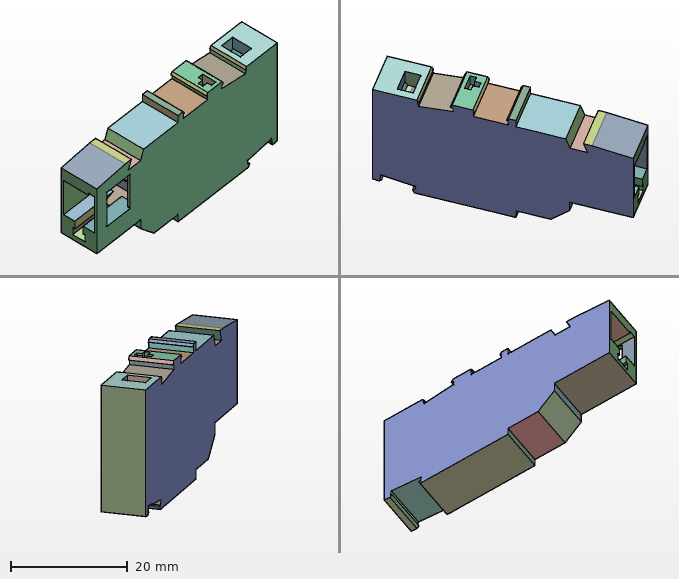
import cadquery as cq

width = 8.15
length = 47.0
height = 24.7
front = -length / 2
back = length / 2

deck = 23.12
rear_top = 23.8
lower_deck = 1.7
front_bottom = 7.2
front_top = 22.3
front_crest = 23.0
groove_floor = 21.0

lip_reach = 0.38
lip_drop = 0.5
lip_undercut = 0.3
lip_setback = lip_reach - lip_undercut

ramp_rise = 0.8

mid_hook = [(9.02, deck), (9.02, 23.9), (9.5, 24.05)]
foot_hook = [(16.0, 0), (16.3, 0.7), (15.9, 0.8), (15.75, lower_deck)]
rear_hook = [(22.0, lower_deck + ramp_rise), (22.2, 1.4), (21.85, 1.3), (22.3, 0.85)]
rear_bottom = 1.0

groove_back = -11.35
groove_floor_back = -12.13
groove_floor_front = -15.28
groove_front = -14.5
crest_end = -16.07

ramp_low_y = 15.2
rear_block_end = 15.5
mid_block_back = 9.1
mid_block_front = 5.4
rib_back = -1.05
rib_front = -2.35
neck_y = -12.05
corner_cut = 3.4

window_half_width = 3.5
window_floor = 11.75
window_ceiling = 19.7
key_left = 2.15
key_ceiling = 20.1
slot_half_width = 0.95
slot_foot_half_width = 1.4
slot_foot_top = 9.9
slot_floor = 8.35

cavity_depth = 11.3
end_wall_bottom = 12.15
end_wall_top = 19.4
end_slope_bottom = 10.9
end_slope = 2.9
end_y = front + cavity_depth

side_opening_start = 2.6
side_opening_length = 6.1

tongue_width = 4.5
tongue_height = 1.18
tongue_z = 15.85
tongue_length = 1.18
tongue_taper = 19.0

entry_left = -2.65
entry_right = 1.65
entry_back = 19.5
entry_front = 16.65
entry_wall_depth = 2.6
entry_slope_run = 0.45
entry_slope_drop = 0.75
entry_step_back = 18.1
entry_step_front = 17.55
entry_step_drop = 0.118

tee_left = 0.35
tee_right = 3.35
tee_back = 8.3
tee_shoulder = 7.2
tee_front = 6.05
stem_left = 1.3
stem_right = 2.35
drum_radius = 2.2
drum_y = 7.6
drum_crown_depth = 2.1


def extrude_yz(points, x_min=-width / 2, x_max=width / 2):
    """Prism along X from a closed outline of (y, z) points."""
    return cq.Workplane("YZ", origin=(x_min, 0, 0)).polyline(points).close().extrude(x_max - x_min)


def box(x_min, x_max, y_min, y_max, z_min, z_max):
    """Box given by its limits along each axis."""
    size = (x_max - x_min, y_max - y_min, z_max - z_min)
    return cq.Workplane("XY").box(*size, centered=False).translate((x_min, y_min, z_min))


def lip(corner_y, top_z, side):
    """Top corner, tip and undercut of an upright lip; side is +1 toward +Y, -1 toward -Y."""
    tip_y = corner_y + side * lip_reach
    tip_z = top_z - lip_drop
    return [(corner_y, top_z), (tip_y, tip_z), (corner_y + side * lip_setback, tip_z)]


def housing():
    top = [
        (back, rear_top),
        *lip(rear_block_end, rear_top, -1),
        (ramp_low_y, deck - ramp_rise),
        *mid_hook,
        (mid_block_back, height),
        *lip(mid_block_front, height, -1),
        (mid_block_front - lip_setback, deck),
        (rib_back + lip_setback, deck),
        *reversed(lip(rib_back, height, 1)),
        (rib_front, height),
        (rib_front, deck),
        (groove_back, deck),
        (groove_floor_back, groove_floor),
        (groove_floor_front, groove_floor),
        (groove_front, front_crest),
        (crest_end, front_crest),
        (front, front_top),
    ]
    bottom = [
        (front, front_bottom),
        (neck_y, front_bottom),
        (neck_y, lower_deck + corner_cut),
        (neck_y + corner_cut, lower_deck),
        (rib_front, lower_deck),
        (rib_front, 0),
        *foot_hook,
        *rear_hook,
        (back, rear_bottom),
    ]
    return extrude_yz(top + bottom)


def front_cavity():
    def opening(x_min, x_max, z_min, z_max):
        return box(x_min, x_max, front, end_y, z_min, z_max)

    section = opening(-window_half_width, window_half_width, window_floor, window_ceiling)
    section = section.union(opening(key_left, window_half_width, window_floor, key_ceiling))
    section = section.union(opening(-slot_half_width, slot_half_width, slot_floor, window_floor))
    section = section.union(opening(-slot_foot_half_width, slot_foot_half_width, slot_floor, slot_foot_top))

    slope_start = end_y - end_slope * (end_wall_bottom - end_slope_bottom)
    ceiling_start = end_y - end_slope * (key_ceiling - end_wall_top)
    depth_limit = extrude_yz([
        (front, slot_floor),
        (slope_start, slot_floor),
        (slope_start, end_slope_bottom),
        (end_y, end_wall_bottom),
        (end_y, end_wall_top),
        (ceiling_start, key_ceiling),
        (front, key_ceiling),
    ])
    return section.intersect(depth_limit)


def side_opening():
    start_y = front + side_opening_start
    return box(
        window_half_width, width / 2,
        start_y, start_y + side_opening_length,
        window_floor, window_ceiling,
    )


def contact_tongue():
    return (
        cq.Workplane("XZ", origin=(0, end_y, tongue_z))
        .rect(tongue_width, tongue_height)
        .extrude(tongue_length, taper=tongue_taper)
    )


def wire_entry():
    ledge_z = rear_top - entry_wall_depth
    floor_z = ledge_z - entry_slope_drop
    profile = [
        (entry_back, rear_top),
        (entry_back, ledge_z),
        (entry_back - entry_slope_run, floor_z),
        (entry_step_back, floor_z),
        (entry_step_front, floor_z - entry_step_drop),
        (entry_front, floor_z - entry_step_drop),
        (entry_front, rear_top),
    ]
    return extrude_yz(profile, entry_left, entry_right)


def tee_pocket():
    drum_z = height - drum_crown_depth - drum_radius
    bar = box(tee_left, tee_right, tee_shoulder, tee_back, drum_z, height)
    stem = box(stem_left, stem_right, tee_front, tee_shoulder, drum_z, height)
    drum = (
        cq.Workplane("YZ", origin=(-width / 2, drum_y, drum_z))
        .circle(drum_radius)
        .extrude(width)
    )
    return bar.union(stem).cut(drum)


result = (
    housing()
    .cut(front_cavity())
    .cut(side_opening())
    .union(contact_tongue())
    .cut(wire_entry())
    .cut(tee_pocket())
)